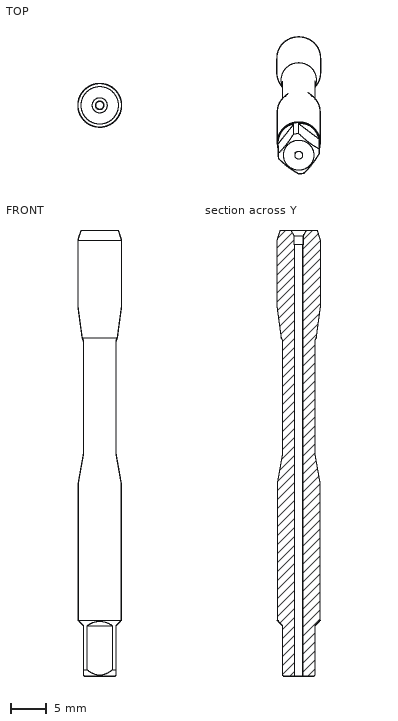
import cadquery as cq
import math

total_length = 62.0
shank_diameter = 6.0
head_diameter = 6.12
neck_diameter = 4.55

shank_bottom_z = 7.75
shank_top_z = 26.85
head_taper_bottom_z = 47.0
head_bottom_z = 51.5
head_top_z = 60.6

shank_taper_angle = 10.0
neck_blend_radius = 1.0
head_blend_height = 0.57
tip_diameter = 5.2

square_width = 4.55
square_corner_diameter = 5.76
end_chamfer_height = 0.9
end_face_diameter = 4.25

slope_top_z = shank_bottom_z - (shank_diameter - square_corner_diameter) / 2

bore_diameter = 1.1
pilot_diameter = 1.2
pilot_depth = 2.0
countersink_diameter = 2.1
countersink_angle = 60.0


def make_body():
    """Revolve the stepped and tapered outline about Z."""
    shank_radius = shank_diameter / 2
    neck_radius = neck_diameter / 2
    head_radius = head_diameter / 2
    corner_radius = square_corner_diameter / 2

    shank_taper = math.radians(shank_taper_angle)
    blend_rise = neck_blend_radius * math.sin(shank_taper)
    cone_end_radius = neck_radius + neck_blend_radius * (1 - math.cos(shank_taper))
    cone_end_z = shank_top_z + (shank_radius - cone_end_radius) / math.tan(shank_taper)
    neck_bottom_z = cone_end_z + blend_rise

    neck_top_z = head_taper_bottom_z - head_blend_height
    head_blend_offset = neck_blend_radius - math.sqrt(neck_blend_radius**2 - head_blend_height**2)
    head_blend_angle = math.asin(head_blend_height / neck_blend_radius)

    def blend_point(tangent_z, direction, angle):
        """Point on a neck rounding, at an angle from where it touches the neck."""
        radius = neck_radius + neck_blend_radius * (1 - math.cos(angle))
        return radius, tangent_z + direction * neck_blend_radius * math.sin(angle)

    return (
        cq.Workplane("XZ")
        .moveTo(0, 0)
        .lineTo(end_face_diameter / 2, 0)
        .lineTo(corner_radius, end_chamfer_height)
        .lineTo(corner_radius, shank_bottom_z)
        .lineTo(shank_radius, shank_bottom_z)
        .lineTo(shank_radius, shank_top_z)
        .lineTo(cone_end_radius, cone_end_z)
        .threePointArc(blend_point(neck_bottom_z, -1, shank_taper / 2), (neck_radius, neck_bottom_z))
        .lineTo(neck_radius, neck_top_z)
        .threePointArc(
            blend_point(neck_top_z, 1, head_blend_angle / 2),
            (neck_radius + head_blend_offset, head_taper_bottom_z),
        )
        .lineTo(head_radius, head_bottom_z)
        .lineTo(head_radius, head_top_z)
        .lineTo(tip_diameter / 2, total_length)
        .lineTo(0, total_length)
        .close()
        .revolve(360, (0, 0), (0, 1))
    )


def make_flat_cutter():
    """Cutter for the flat on the +X side, running out at 45 degrees towards the shank."""
    flat_x = square_width / 2
    corner_x = square_corner_diameter / 2
    flat_top_z = slope_top_z - (corner_x - flat_x)
    profile = [(flat_x, 0), (flat_x, flat_top_z), (corner_x, slope_top_z), (corner_x, 0)]
    half_span = shank_diameter / 2
    return cq.Workplane("XZ").polyline(profile).close().extrude(half_span, both=True)


def cut_driving_square(body):
    """Cut four equal flats around the lower end."""
    cutter = make_flat_cutter()
    flat_count = 4
    for index in range(flat_count):
        angle = index * 360 / flat_count
        body = body.cut(cutter.rotate((0, 0, 0), (0, 0, 1), angle))
    return body


def cut_bore(body):
    """Drill through along the axis, then widen and countersink the top end."""
    body = body.faces(">Z").workplane().hole(bore_diameter)
    top_face = body.faces(">Z").workplane()
    return top_face.cskHole(pilot_diameter, countersink_diameter, countersink_angle, depth=pilot_depth)


result = cut_bore(cut_driving_square(make_body()))